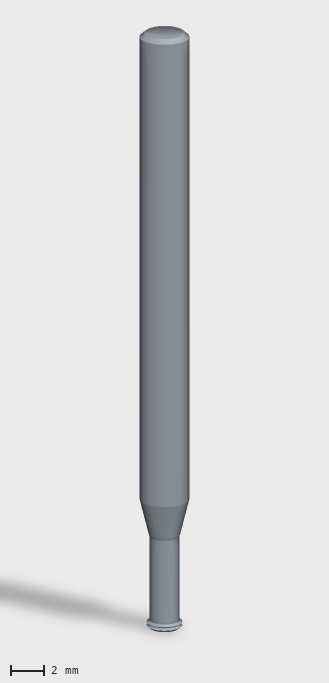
import cadquery as cq

total_length = 38.0
shank_radius = 3.0 / 2
shank_bottom = 8.2
end_chamfer_height = 0.25
end_chamfer_width = 0.3

taper_end_radius = 1.95 / 2
taper_bottom = 6.05
neck_radius = 1.8 / 2
neck_top = 5.8

crest_radius = 2.15 / 2
root_radius = 1.9 / 2
tip_radius = neck_radius
lower_crest = 0.15
groove_bottom = 0.25
groove_top = 0.3
upper_crest = 0.38
head_top = 0.5

head_points = [
    (tip_radius, 0),
    (crest_radius, lower_crest),
    (root_radius, groove_bottom),
    (root_radius, groove_top),
    (crest_radius, upper_crest),
    (root_radius, head_top),
    (neck_radius, head_top),
]

shank_points = [
    (neck_radius, neck_top),
    (taper_end_radius, taper_bottom),
    (shank_radius, shank_bottom),
    (shank_radius, total_length - end_chamfer_height),
    (shank_radius - end_chamfer_width, total_length),
]

half_profile = [(0, 0)] + head_points + shank_points + [(0, total_length)]
result = cq.Workplane("XZ").polyline(half_profile).close().revolve(360, (0, 0, 0), (0, 1, 0))